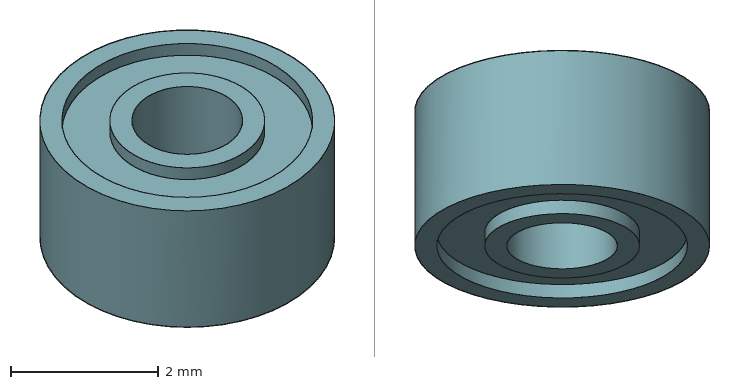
import cadquery as cq

outer_diameter = 4.0
width = 2.0
bore_diameter = 1.5
race_wall = 0.3
shield_recess = 0.2

inner_ring_diameter = bore_diameter + 2 * race_wall
outer_ring_bore = outer_diameter - 2 * race_wall
shield_width = width - 2 * shield_recess


def make_ring(outside, inside, height):
    """Plain ring on the Z axis, centred on the XY plane."""
    return (
        cq.Workplane("XY")
        .workplane(offset=-height / 2)
        .circle(outside / 2)
        .circle(inside / 2)
        .extrude(height)
    )


outer_ring = make_ring(outer_diameter, outer_ring_bore, width)
inner_ring = make_ring(inner_ring_diameter, bore_diameter, width)

shield = make_ring(outer_ring_bore, inner_ring_diameter, shield_width)

result = cq.Compound.makeCompound([outer_ring.val(), inner_ring.val(), shield.val()])